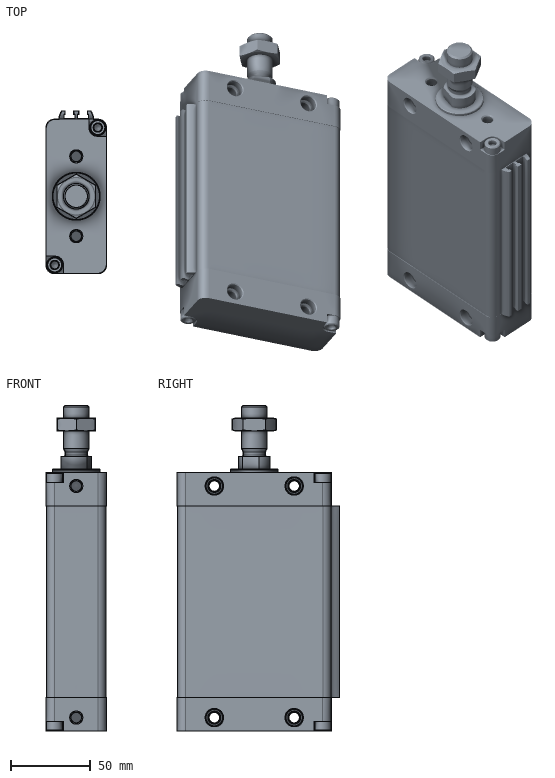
import cadquery as cq
import math

width = 38.0
cap_front = 48.5
cap_back = 48.25
cap_height = 21.0
cap_corner_radius = 5.5
barrel_width = 37.4
barrel_depth = 96.4
barrel_length = 120.0
barrel_corner_radius = 5.2
housing_height = barrel_length + 2 * cap_height

port_edge_distance = 8.5
hole_spacing = 50.0
thread_hole_diameter = 6.65
countersink_diameter = 8.2
thread_depth = 12.0
through_hole_diameter = 6.65
through_rim_diameter = 8.0
counterbore_diameter = 10.4
counterbore_rim_diameter = 11.45
counterbore_depth = 5.7

screw_x_offset = 13.5
screw_y_offset = 43.0
screw_head_diameter = 10.0
screw_head_height = 6.0
screw_head_chamfer = 0.6
screw_pocket_diameter = 11.0
screw_pocket_depth = 6.2
socket_diameter = 5.0
socket_rim_diameter = 5.8
socket_depth = 3.5
socket_cone_height = 1.2

collar_diameter = 30.0
collar_height = 2.0
collar_bevel = 0.4

rail_root_overlap = 1.0
rail_height = 5.25
slot_floor_height = 0.4
rail_lip_start = 3.0
rail_half_width = 10.9
rail_top_half_width = 9.0
rail_flank_middle = (10.3, cap_back + 2.8)
slot_outer = 7.6
mouth_outer = 7.0
stem_half_width = 0.9
stem_lip_half_width = 1.6

overall_height = 204.0
rod_diameter = 16.0
rod_tip_chamfer = 1.0
shoulder_diameter = 20.0
shoulder_height = 8.0
shoulder_flats = 17.0
shoulder_flat_angle = -15.0
neck_diameter = 13.9
neck_length = 5.0
neck_taper_angle = 25.0
neck_upper_fillet = 1.6
neck_lower_fillet = 0.8

nut_flats = 24.0
nut_height = 8.0
nut_top_gap = 8.0
nut_chamfer_angle = 15.0
nut_face_diameter = 23.5

collar_top = housing_height + collar_height


def block(size_x, size_y, height, radius):
    """Upright block with rounded vertical edges, standing on Z = 0."""
    base = cq.Workplane("XY").box(size_x, size_y, height, centered=(True, True, False))
    return base.edges("|Z").fillet(radius)


def countersink(plane, rim_diameter, bore_diameter):
    """45 degree cone that narrows from the plane origin against the plane normal."""
    depth_of_cone = (rim_diameter - bore_diameter) / 2
    return cq.Workplane(plane).circle(rim_diameter / 2).extrude(-depth_of_cone, taper=45)


def threaded_hole(plane):
    """Countersunk blind hole that runs from the plane origin against the plane normal."""
    bore = cq.Workplane(plane).circle(thread_hole_diameter / 2).extrude(-thread_depth)
    return bore.union(countersink(plane, countersink_diameter, thread_hole_diameter))


def cross_hole(y, z):
    """Through hole along X, counterbored from both sides, with every rim countersunk."""
    tool = cq.Workplane("YZ", origin=(0, y, z)).circle(through_hole_diameter / 2)
    tool = tool.extrude(width / 2, both=True)
    for side in (-1, 1):
        face = cq.Plane((side * width / 2, y, z), (0, 1, 0), (side, 0, 0))
        floor = cq.Plane((side * (width / 2 - counterbore_depth), y, z), (0, 1, 0), (side, 0, 0))
        bore = cq.Workplane(face).circle(counterbore_diameter / 2).extrude(-counterbore_depth)
        tool = tool.union(bore)
        tool = tool.union(countersink(face, counterbore_rim_diameter, counterbore_diameter))
        tool = tool.union(countersink(floor, through_rim_diameter, through_hole_diameter))
    return tool


def screw_pocket(x, y):
    """Pocket at the top of a cap, rounded around the screw and open to both side faces."""
    radius = screw_pocket_diameter / 2
    floor = cq.Workplane("XY", origin=(x, y, cap_height - screw_pocket_depth))
    tool = floor.circle(radius).extrude(screw_pocket_depth)
    reach = 2 * radius
    shift_x = math.copysign(reach / 2, x)
    shift_y = math.copysign(reach / 2, y)
    for dx, dy, size_x, size_y in ((shift_x, 0, reach, 2 * radius), (0, shift_y, 2 * radius, reach)):
        arm = floor.center(dx, dy).rect(size_x, size_y).extrude(screw_pocket_depth)
        tool = tool.union(arm)
    return tool


def screw_head(x, y):
    """Cylindrical head with a round socket that ends in a cone."""
    floor = cap_height - screw_pocket_depth
    top = screw_head_height
    head_radius = screw_head_diameter / 2
    socket_radius = socket_diameter / 2
    rim_radius = socket_rim_diameter / 2
    profile = [
        (0, 0),
        (head_radius, 0),
        (head_radius, top - screw_head_chamfer),
        (head_radius - screw_head_chamfer, top),
        (rim_radius, top),
        (socket_radius, top - (rim_radius - socket_radius)),
        (socket_radius, top - socket_depth),
        (0, top - socket_depth - socket_cone_height),
    ]
    head = cq.Workplane("XZ").polyline(profile).close().revolve(360, (0, 0, 0), (0, 1, 0))
    return head.translate((x, y, floor))


def plain_cap():
    """Cap with its outer end up, with ports, cross holes and screws."""
    cap = block(width, cap_front + cap_back, cap_height, cap_corner_radius)
    cap = cap.translate((0, (cap_back - cap_front) / 2, 0))
    hole_z = cap_height - port_edge_distance
    cap = cap.cut(threaded_hole(cq.Plane((0, -cap_front, hole_z), (1, 0, 0), (0, -1, 0))))
    for side in (-1, 1):
        cap = cap.cut(cross_hole(side * hole_spacing / 2, hole_z))
        screw_x = side * screw_x_offset
        screw_y = side * screw_y_offset
        cap = cap.cut(screw_pocket(screw_x, screw_y))
        cap = cap.union(screw_head(screw_x, screw_y))
    return cap


def rod_cap():
    """Upper cap: adds the two end holes and the rod collar."""
    cap = plain_cap()
    for side in (-1, 1):
        cap = cap.cut(threaded_hole(cq.Plane((0, side * hole_spacing / 2, cap_height))))
    collar = cq.Workplane("XY", origin=(0, 0, cap_height)).circle(collar_diameter / 2)
    collar = collar.extrude(collar_height).faces(">Z").chamfer(collar_bevel)
    return cap.union(collar).translate((0, 0, housing_height - cap_height))


def end_cap():
    """Lower cap: the plain cap mirrored so that its screws face down."""
    return plain_cap().mirror("XY").translate((0, 0, cap_height))


def barrel():
    """Barrel between the caps, with the two-slot sensor rail on its +Y face."""
    body = block(barrel_width, barrel_depth, barrel_length, barrel_corner_radius)
    root = barrel_depth / 2 - rail_root_overlap
    floor = cap_back + slot_floor_height
    lip = cap_back + rail_lip_start
    top = cap_back + rail_height
    stem = (
        cq.Workplane("XY")
        .moveTo(-stem_half_width, root)
        .lineTo(-stem_half_width, lip)
        .lineTo(-stem_lip_half_width, lip)
        .lineTo(-stem_lip_half_width, top)
        .lineTo(stem_lip_half_width, top)
        .lineTo(stem_lip_half_width, lip)
        .lineTo(stem_half_width, lip)
        .lineTo(stem_half_width, root)
        .close()
        .extrude(barrel_length)
    )
    prong = (
        cq.Workplane("XY")
        .moveTo(slot_outer, root)
        .lineTo(slot_outer, lip)
        .lineTo(mouth_outer, lip)
        .lineTo(mouth_outer, top)
        .lineTo(rail_top_half_width, top)
        .threePointArc(rail_flank_middle, (rail_half_width, cap_back))
        .lineTo(rail_half_width, root)
        .close()
        .extrude(barrel_length)
    )
    web = cq.Workplane("XY").center(0, (root + floor) / 2).rect(2 * slot_outer, floor - root)
    body = body.union(web.extrude(barrel_length))
    body = body.union(stem).union(prong).union(prong.mirror("YZ"))
    return body.translate((0, 0, cap_height))


def piston_rod():
    """Rod standing on the collar: shoulder with two flats, undercut neck and shank."""
    rod_radius = rod_diameter / 2
    neck_radius = neck_diameter / 2
    shoulder_radius = shoulder_diameter / 2
    shoulder_top = collar_top + shoulder_height
    neck_top = shoulder_top + neck_length
    taper = math.radians(neck_taper_angle)
    taper_end = neck_top - (rod_radius - neck_radius) / math.tan(taper)
    profile = (
        cq.Workplane("XZ")
        .moveTo(0, shoulder_top)
        .lineTo(neck_radius, shoulder_top)
        .lineTo(neck_radius, taper_end)
        .lineTo(rod_radius, neck_top)
        .lineTo(rod_radius, overall_height)
        .lineTo(0, overall_height)
        .close()
    )
    rod = profile.revolve(360, (0, 0, 0), (0, 1, 0))
    rod = rod.faces(">Z").chamfer(rod_tip_chamfer)
    neck_edge = cq.selectors.NearestToPointSelector((0, 0, taper_end))
    rod = rod.edges("%CIRCLE").edges(neck_edge).fillet(neck_upper_fillet)

    base = cq.Workplane("XY", origin=(0, 0, collar_top))
    shoulder = base.circle(shoulder_radius).extrude(shoulder_height)
    flats = (
        base.transformed(rotate=(0, 0, shoulder_flat_angle))
        .rect(shoulder_flats, 2 * shoulder_diameter)
        .extrude(shoulder_height)
    )
    rod = rod.union(shoulder.intersect(flats))
    neck_foot = cq.selectors.NearestToPointSelector((0, 0, shoulder_top))
    return rod.edges("%CIRCLE").edges(neck_foot).fillet(neck_lower_fillet)


def lock_nut():
    """Hexagon nut with flats facing X, corners chamfered at both ends."""
    across_corners = nut_flats / math.cos(math.pi / 6)
    bottom = overall_height - nut_top_gap - nut_height
    face_radius = nut_face_diameter / 2
    outer_radius = across_corners / 2
    drop = (outer_radius - face_radius) * math.tan(math.radians(nut_chamfer_angle))
    hexagon = cq.Workplane("XY").polygon(6, across_corners).extrude(nut_height)
    hexagon = hexagon.rotate((0, 0, 0), (0, 0, 1), 30)
    profile = [
        (0, 0),
        (face_radius, 0),
        (outer_radius, drop),
        (outer_radius, nut_height - drop),
        (face_radius, nut_height),
        (0, nut_height),
    ]
    envelope = cq.Workplane("XZ").polyline(profile).close().revolve(360, (0, 0, 0), (0, 1, 0))
    bore = cq.Workplane("XY").circle(rod_diameter / 2).extrude(nut_height)
    return hexagon.intersect(envelope).cut(bore).translate((0, 0, bottom))


result = cq.Compound.makeCompound(
    [end_cap().val(), barrel().val(), rod_cap().val(), piston_rod().val(), lock_nut().val()]
)